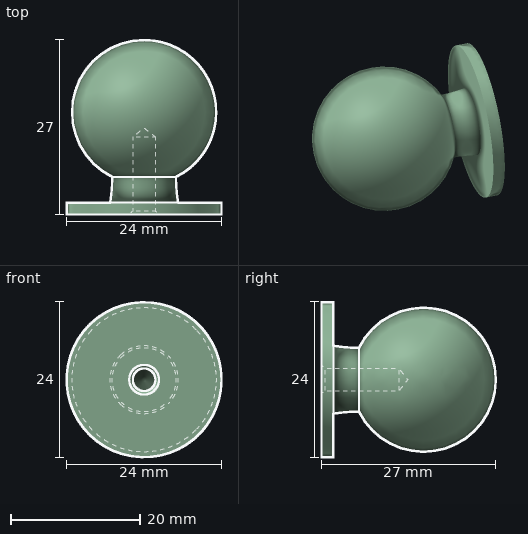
import cadquery as cq
import math

overall_length = 27.0
plate_diameter = 24.0
plate_thickness = 1.85
ball_diameter = 22.35
neck_base_diameter = 10.55
neck_top_diameter = 9.9

hole_diameter = 3.5
hole_depth = 12.0
drill_point_angle = 104.0
countersink_diameter = 4.6
countersink_angle = 90.0

plate_radius = plate_diameter / 2
ball_radius = ball_diameter / 2
neck_base_radius = neck_base_diameter / 2
neck_top_radius = neck_top_diameter / 2
hole_radius = hole_diameter / 2
countersink_radius = countersink_diameter / 2

ball_center_y = overall_length - ball_radius
neck_top_y = ball_center_y - math.sqrt(ball_radius**2 - neck_top_radius**2)


def cone_height(radius_change, included_angle):
    """Axial length over which a cone of this included angle changes radius."""
    return radius_change / math.tan(math.radians(included_angle / 2))


def revolve_about_y(half_profile):
    """Turn a closed XY half profile a full revolution about the Y axis."""
    return half_profile.close().revolve(360, (0, 0, 0), (0, 1, 0))


def make_knob():
    """Plate, waisted neck and ball; the neck flank runs parallel to the axis at the ball."""
    half_profile = (
        cq.Workplane("XY")
        .lineTo(plate_radius, 0)
        .lineTo(plate_radius, plate_thickness)
        .lineTo(neck_base_radius, plate_thickness)
        .threePointArc(neck_flank_midpoint(), (neck_top_radius, neck_top_y))
        .threePointArc((ball_radius, ball_center_y), (0, overall_length))
    )
    return revolve_about_y(half_profile)


def neck_flank_midpoint():
    """Point halfway along the concave neck arc, which is tangent to the axis direction at the top."""
    flare = neck_base_radius - neck_top_radius
    neck_length = neck_top_y - plate_thickness
    flank_radius = (neck_length**2 + flare**2) / (2 * flare)
    half_sweep = math.asin(neck_length / flank_radius) / 2
    x = neck_top_radius + flank_radius * (1 - math.cos(half_sweep))
    y = neck_top_y - flank_radius * math.sin(half_sweep)
    return x, y


def make_screw_hole():
    """Countersunk blind hole with a drill-point bottom."""
    countersink_depth = cone_height(countersink_radius - hole_radius, countersink_angle)
    tip_y = hole_depth + cone_height(hole_radius, drill_point_angle)
    half_profile = (
        cq.Workplane("XY")
        .lineTo(countersink_radius, 0)
        .lineTo(hole_radius, countersink_depth)
        .lineTo(hole_radius, hole_depth)
        .lineTo(0, tip_y)
    )
    return revolve_about_y(half_profile)


result = make_knob().cut(make_screw_hole())